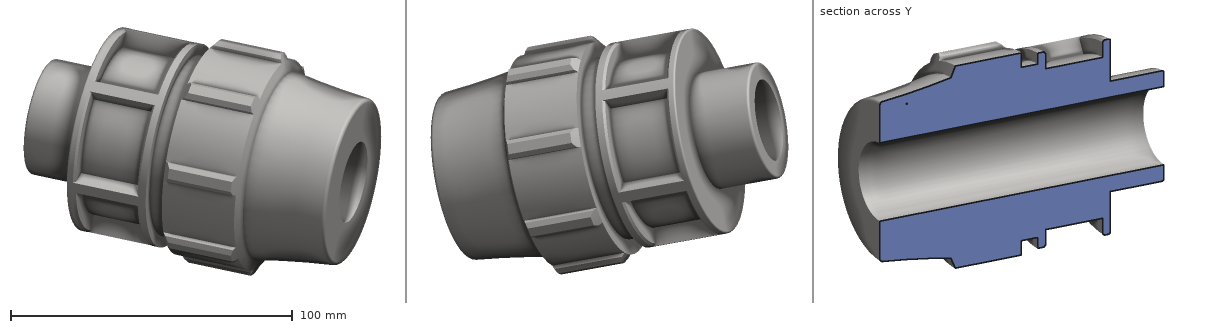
import cadquery as cq
FLANGE_START = 22.1
FLANGE_END = 52.1
NUT_START = 58.6
NUT_END = 87.8
TOTAL_LENGTH = 117.0

BORE_RADIUS = 29.4 / 2
SPIGOT_RADIUS = 41.9 / 2
FLANGE_RADIUS = 73.8 / 2
NECK_RADIUS = 65.6 / 2
NUT_RADIUS = 38.3
TAPER_START_RADIUS = 34.2
TAPER_END_RADIUS = 30.3
TAPER_SAG = 0.4

SPIGOT_ROUND = 0.9
FLANGE_ROUND = 0.7
TAPER_ROUND = 1.4

POCKET_COUNT = 6
POCKET_START = 25.4
POCKET_END = 48.7
POCKET_FLOOR_RADIUS = 30.4
POCKET_CHAMFER = 0.8
WEB_WIDTH = 4.2

RIB_COUNT = 8
RIB_TOP_RADIUS = 41.0
RIB_SHOULDER_RADIUS = 39.4
RIB_TOP_WIDTH = 3.7
RIB_BASE_WIDTH = 6.8
RIB_LEAD_IN = 2.3
NUT_BACK_SLOPE = 0.45

CLEARANCE = 1.2


def revolve_about_x(profile):
    """Revolve a closed XY profile (x = axial, y = radial) about the X axis."""
    return profile.close().revolve(360, (0, 0, 0), (1, 0, 0))


def nut_back_x(radius):
    """Axial position of the conical nut back at a given radius."""
    return NUT_END - NUT_BACK_SLOPE * (radius - TAPER_START_RADIUS)


def turned_body():
    """Spigot, flange, neck and concave taper as one solid of revolution."""
    taper_end_x = TOTAL_LENGTH - TAPER_ROUND
    taper_mid = (
        (NUT_END + taper_end_x) / 2,
        (TAPER_START_RADIUS + TAPER_END_RADIUS) / 2 - TAPER_SAG,
    )
    profile = (
        cq.Workplane("XY")
        .moveTo(0, 0)
        .lineTo(0, SPIGOT_RADIUS - SPIGOT_ROUND)
        .radiusArc((SPIGOT_ROUND, SPIGOT_RADIUS), SPIGOT_ROUND)
        .lineTo(FLANGE_START, SPIGOT_RADIUS)
        .lineTo(FLANGE_START, FLANGE_RADIUS - FLANGE_ROUND)
        .radiusArc((FLANGE_START + FLANGE_ROUND, FLANGE_RADIUS), FLANGE_ROUND)
        .lineTo(FLANGE_END, FLANGE_RADIUS)
        .lineTo(FLANGE_END, NECK_RADIUS)
        .lineTo(NUT_END, NECK_RADIUS)
        .lineTo(NUT_END, TAPER_START_RADIUS)
        .threePointArc(taper_mid, (taper_end_x, TAPER_END_RADIUS))
        .radiusArc((TOTAL_LENGTH, TAPER_END_RADIUS - TAPER_ROUND), TAPER_ROUND)
        .lineTo(TOTAL_LENGTH, 0)
    )
    return revolve_about_x(profile)


def flange_pockets():
    """Cutter for the pockets: a bevelled ring groove interrupted by the webs."""
    reach = FLANGE_RADIUS + CLEARANCE
    bevel_root = FLANGE_RADIUS - POCKET_CHAMFER
    rim_start = POCKET_START - POCKET_CHAMFER
    rim_end = POCKET_END + POCKET_CHAMFER
    ring = revolve_about_x(
        cq.Workplane("XY")
        .moveTo(POCKET_START, POCKET_FLOOR_RADIUS)
        .lineTo(POCKET_START, bevel_root)
        .lineTo(rim_start, FLANGE_RADIUS)
        .lineTo(rim_start, reach)
        .lineTo(rim_end, reach)
        .lineTo(rim_end, FLANGE_RADIUS)
        .lineTo(POCKET_END, bevel_root)
        .lineTo(POCKET_END, POCKET_FLOOR_RADIUS)
    )
    web = cq.Workplane("XY").box(FLANGE_END, reach, WEB_WIDTH, centered=(False, False, True))
    web = web.translate((FLANGE_START, 0, 0))
    for index in range(POCKET_COUNT):
        ring = ring.cut(web.rotate((0, 0, 0), (1, 0, 0), index * 360 / POCKET_COUNT))
    return ring


def grip_rib():
    """One faceted grip rib pointing along +Y, spanning the length of the nut."""
    half_top = RIB_TOP_WIDTH / 2
    half_base = RIB_BASE_WIDTH / 2
    root = NECK_RADIUS + CLEARANCE
    return (
        cq.Workplane("YZ", origin=(NUT_START, 0, 0))
        .moveTo(root, -half_base)
        .lineTo(RIB_SHOULDER_RADIUS, -half_base)
        .lineTo(RIB_TOP_RADIUS, -half_top)
        .lineTo(RIB_TOP_RADIUS, half_top)
        .lineTo(RIB_SHOULDER_RADIUS, half_base)
        .lineTo(root, half_base)
        .close()
        .extrude(NUT_END - NUT_START)
    )


def ribbed_nut():
    """Nut with grip ribs, trimmed by the sloped rib fronts and the conical back."""
    nut = cq.Workplane("YZ", origin=(NUT_START, 0, 0)).circle(NUT_RADIUS).extrude(NUT_END - NUT_START)
    rib = grip_rib()
    pitch = 360 / RIB_COUNT
    for index in range(RIB_COUNT):
        nut = nut.union(rib.rotate((0, 0, 0), (1, 0, 0), (index + 0.5) * pitch))
    lead_slope = RIB_LEAD_IN / (RIB_TOP_RADIUS - NUT_RADIUS)
    reach = RIB_TOP_RADIUS + CLEARANCE
    envelope = revolve_about_x(
        cq.Workplane("XY")
        .moveTo(NUT_START, 0)
        .lineTo(NUT_START, NUT_RADIUS)
        .lineTo(NUT_START + lead_slope * (reach - NUT_RADIUS), reach)
        .lineTo(nut_back_x(reach), reach)
        .lineTo(NUT_END, TAPER_START_RADIUS)
        .lineTo(NUT_END, 0)
    )
    return nut.intersect(envelope)


bore = cq.Workplane("YZ").circle(BORE_RADIUS).extrude(TOTAL_LENGTH)
result = turned_body().cut(flange_pockets()).union(ribbed_nut()).cut(bore)